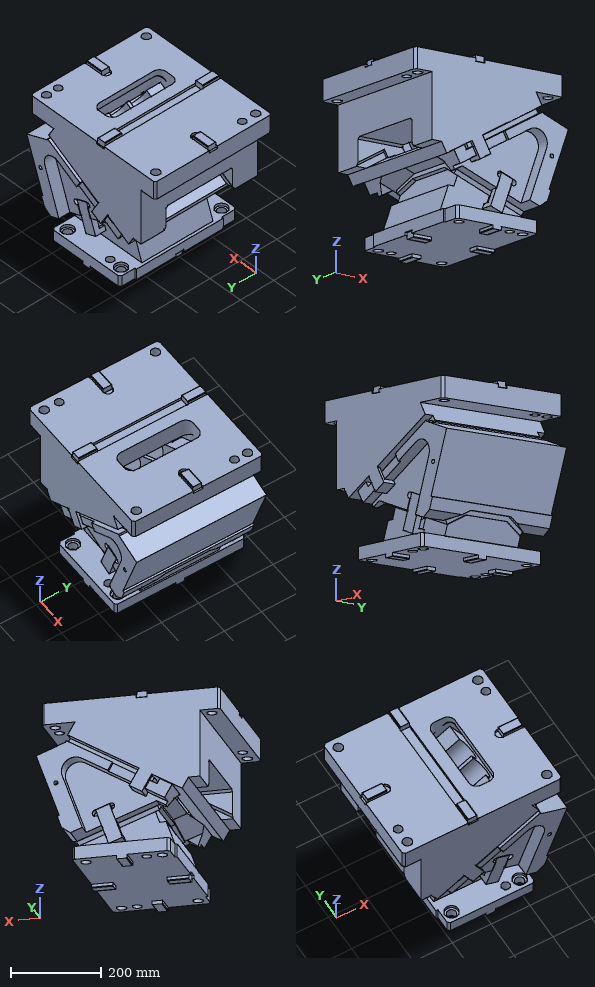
import cadquery as cq
import math


half_width = 175.0
total_height = 393.0
key_rise = 8.5
key_width = 24.5
key_length = 50.0
key_seat_depth = 7.0
key_chamfer = 1.5
cross_key_inset = 3.5
corner_chamfer = 6.0
screw_radius = 11.5
dowel_radius = 10.5
overshoot = 4.2

slide_angle = math.radians(30)
slide_x, slide_z = 186.0, 209.8
wedge_angle = math.radians(20)
wedge_x, wedge_z = 423.0, 262.0

plate_length = 410.0
plate_top = total_height - key_rise
plate_bottom = 333.3
block_left, block_right = 46.0, 333.3
foot_s = -114.5
guide_end_s = 189.0
end_face_height = 28.8
jaw_length = 34.0
jaw_depth = 45.0
ledge_t = -13.0
flange_t = -34.3
flange_half_width = 168.5
waist_half_width = 142.0
rail_half_width = 152.3
pad_half_width = 101.5
window_half_width = 100.0
window_top = 244.0
window_chamfer = 5.5
window_flare_t = 43.5
window_notch_half_width = 73.0
floor_end_s = -50.0
notch_end_s = -67.0
pocket_end_s, pocket_top_t = 165.0, 87.0
pocket_half_width = 100.2
pocket_corner = 17.0
slot_left, slot_right = 224.5, 285.5
slot_corner = 20.0
slot_bottom = 296.0
cross_key_x = 180.0
hole_left_x, hole_right_x, hole_y = 25.5, 385.0, 149.7
dowel_left_y, dowel_right_y = -109.5, 114.5
left_key_x, right_key_x = 5.0, 355.3
left_seat_end, right_seat_start = 69.0, 341.7

slider_end_s = -86.0
slider_end_depth = 43.0
slider_foot_s = -61.7
slider_top_s = 185.2
slider_edge = 4.2
lip_end_s = -53.3
spring_block_end_s, spring_block_top_t = 150.5, 68.5
spring_block_half_width = 98.0
spring_nose_half_width = 72.7
spring_nose_length = 58.5
wide_start_s = 63.0
cam_q = -205.5
heel_out = 5.0
heel_top_q, heel_bottom_q = -155.2, -184.5
heel_corner_p = -9.7
leg_p = -39.0
recess_radius = 31.0
hook_start_p, hook_end_p = -110.0, -76.0
hook_top_q, hook_bottom_q = -164.5, -251.5
hook_outer, hook_inner = 140.5, 124.8
lip_inner, lip_thickness = 109.0, 12.5
relief_radius, relief_drop, relief_spread = 7.0, 7.0, 19.5
cross_hole_p, cross_hole_q, cross_hole_radius, cross_hole_depth = -20.0, -80.5, 4.5, 12.5
groove_y, groove_radius = 30.5, 26.2
groove_start_s = 34.0
groove_wall = 14.0

cam_half_width = 116.7
roof_half_width = 112.0
roof_flat_half_width = 59.0
roof_slope = math.tan(math.radians(30))
cover_thickness = 11.0
cover_start_p, cover_end_p = -205.5, -7.5
core_half_width = roof_half_width - cover_thickness / 2
roof_edge_q = cam_q + (cam_half_width - roof_half_width) * roof_slope
ridge_q = cam_q + (cam_half_width - roof_flat_half_width) * roof_slope
core_top_q = roof_edge_q - cover_thickness * math.cos(math.radians(30))
cam_groove_mouth_half_width = 131.0
cam_groove_mouth_q = -226.0
cam_groove_length = 296.0
core_start_p, core_end_p = -195.5, -5.5
step_p, step_z = -209.8, 103.5
base_left, base_right, base_top = 110.5, 340.0, 39.5
base_setback = 5.0
base_tongue_half_width = 130.3
base_hole_left, base_hole_right, base_hole_y = 138.7, 314.2, 150.5
base_dowel_left, base_dowel_right = 174.5, 278.3
counterbore_radius, counterbore_depth = 17.0, 7.5
base_key_x = 226.0
ear_outer, ear_start_p, ear_end_p = 121.5, -101.5, -84.5
ear_top_q = -213.0


def slide(s, t):
    """X, Z of a point in the slide frame."""
    return (slide_x + s * math.cos(slide_angle) - t * math.sin(slide_angle),
            slide_z + s * math.sin(slide_angle) + t * math.cos(slide_angle))


def wedge(p, q):
    """X, Z of a point in the wedge frame."""
    return (wedge_x + p * math.cos(wedge_angle) + q * math.sin(wedge_angle),
            wedge_z - p * math.sin(wedge_angle) + q * math.cos(wedge_angle))


def slab(points, half):
    """X-Z outline extruded to both sides of Y = 0."""
    return cq.Workplane("XZ").polyline(points).close().extrude(half, both=True)


def side_bands(points, inner, outer):
    """The same outline on both sides, between two distances from Y = 0."""
    return slab(points, outer).cut(slab(points, inner))


def slide_box(s0, s1, t0, t1):
    """Outline of a rectangle in the slide frame."""
    return [slide(s0, t0), slide(s1, t0), slide(s1, t1), slide(s0, t1)]


def wedge_box(p0, p1, q0, q1):
    """Outline of a rectangle in the wedge frame."""
    return [wedge(p0, q0), wedge(p1, q0), wedge(p1, q1), wedge(p0, q1)]


def wedge_prism(points, p0, p1):
    """Y-q outline extruded along the cam face from p0 to p1."""
    x, z = wedge(p0, 0)
    along = (math.cos(wedge_angle), 0, -math.sin(wedge_angle))
    plane = cq.Plane(origin=(x, 0, z), xDir=(0, 1, 0), normal=along)
    return cq.Workplane(plane).polyline(points).close().extrude(p1 - p0)


def slide_plane(s, t):
    """Plane square to the guide; its local axes are Y and t."""
    x, z = slide(s, t)
    along = (math.cos(slide_angle), 0, math.sin(slide_angle))
    return cq.Plane(origin=(x, 0, z), xDir=(0, 1, 0), normal=along)


def slide_prism(points, s0, s1):
    """Y-t outline extruded along the guide from s0 to s1."""
    return cq.Workplane(slide_plane(s0, 0)).polyline(points).close().extrude(s1 - s0)


def block(x0, x1, y0, y1, z0, z1):
    return cq.Workplane("XY").box(x1 - x0, y1 - y0, z1 - z0, centered=False).translate((x0, y0, z0))


def holes(points, radius, z0, z1):
    return cq.Workplane("XY").workplane(offset=z0).pushPoints(points).circle(radius).extrude(z1 - z0)


def key_along_x(x0, z0, z1, chamfered_face):
    key = block(x0, x0 + key_length, -key_width / 2, key_width / 2, z0, z1)
    return key.faces(chamfered_face).edges("|X").chamfer(key_chamfer)


def key_along_y(x, y0, z0, z1, chamfered_face):
    key = block(x - key_width / 2, x + key_width / 2, y0, y0 + key_length, z0, z1)
    return key.faces(chamfered_face).edges("|Y").chamfer(key_chamfer)


def holder_blank():
    plate = block(0, plate_length, -half_width, half_width, plate_bottom, plate_top)
    plate = plate.edges("|Z").chamfer(corner_chamfer)
    foot_x, block_bottom = slide(foot_s, end_face_height)
    outline = [
        (block_left, plate_bottom),
        (block_left, block_bottom),
        (foot_x, block_bottom),
        slide(foot_s, 0),
        slide(guide_end_s, 0),
        slide(guide_end_s, end_face_height),
        (block_right, plate_bottom),
    ]
    body = plate.union(slab(outline, half_width))
    jaw_sides = side_bands(slide_box(-jaw_length, 0, -jaw_depth, 0), flange_half_width, half_width)
    jaw_lips = side_bands(slide_box(-jaw_length, 0, -jaw_depth, flange_t), waist_half_width, half_width)
    rails = side_bands(slide_box(-jaw_length, guide_end_s, ledge_t, 0), pad_half_width, rail_half_width)
    tie = slab(slide_box(pocket_end_s, guide_end_s, ledge_t, 0), pad_half_width)
    return body.union(jaw_sides).union(jaw_lips).union(rails).union(tie)


def window_cavity():
    """Opening in the lower end, above the sloping floor, reaching the spring block."""
    start = block_left - overshoot
    outline = [
        (start, window_top),
        (start, slide(foot_s, end_face_height)[1] - overshoot),
        slide(foot_s, end_face_height),
        slide(floor_end_s, end_face_height),
        slide(floor_end_s, 0),
        slide(0, 0),
        slide(0, (window_top - slide_z) / math.cos(slide_angle)),
    ]
    cavity = slab(outline, window_half_width)
    cavity = cavity.edges("|X").edges(">Z").chamfer(window_chamfer)
    notch = slab(slide_box(notch_end_s, floor_end_s, 0, end_face_height), window_notch_half_width)
    flare_outer = window_half_width + window_chamfer
    flare_outline = [
        (-flare_outer, 0),
        (flare_outer, 0),
        (flare_outer, window_flare_t),
        (window_half_width, window_flare_t + window_chamfer),
        (-window_half_width, window_flare_t + window_chamfer),
        (-flare_outer, window_flare_t),
    ]
    flare = slide_prism(flare_outline, 2 * foot_s, floor_end_s).intersect(slab(outline, half_width))
    return cavity.union(notch).union(flare)


def spring_pocket():
    """Room for the slider's spring block, with a slot up through the plate."""
    pocket = slab(slide_box(0, pocket_end_s, 0, pocket_top_t), pocket_half_width)
    end_x, end_z = slide(pocket_end_s, pocket_top_t / 2)
    for y in (-pocket_half_width, pocket_half_width):
        corner = cq.selectors.NearestToPointSelector((end_x, y, end_z))
        pocket = pocket.edges(corner).fillet(pocket_corner)
    slot = block(slot_left, slot_right, -pocket_half_width, pocket_half_width, slot_bottom, plate_top)
    return pocket.union(slot.edges("|Z").fillet(slot_corner))


def holder_seats():
    seat_bottom = plate_top - key_seat_depth
    half_key = key_width / 2
    cross = block(
        cross_key_x - half_key, cross_key_x + half_key, -half_width, half_width, seat_bottom, plate_top
    )
    left_centre = left_seat_end - half_key
    right_centre = right_seat_start + half_key
    left = block(0, left_centre, -half_key, half_key, seat_bottom, plate_top)
    right = block(right_centre, plate_length, -half_key, half_key, seat_bottom, plate_top)
    ends = holes([(left_centre, 0), (right_centre, 0)], half_key, seat_bottom, plate_top)
    return cross.union(left).union(right).union(ends)


def make_holder():
    body = holder_blank().cut(window_cavity()).cut(spring_pocket()).cut(holder_seats())
    screws = [(x, y) for x in (hole_left_x, hole_right_x) for y in (-hole_y, hole_y)]
    dowels = [(hole_left_x, dowel_left_y), (hole_right_x, dowel_right_y)]
    body = body.cut(holes(screws, screw_radius, plate_bottom, plate_top))
    body = body.cut(holes(dowels, dowel_radius, plate_bottom, plate_top))
    seat_bottom = plate_top - key_seat_depth
    key_outer = half_width - cross_key_inset
    for x in (left_key_x, right_key_x):
        body = body.union(key_along_x(x, seat_bottom, total_height, ">Z"))
    for y in (-key_outer, key_outer - key_length):
        body = body.union(key_along_y(cross_key_x, y, seat_bottom, total_height, ">Z"))
    return body


def slider_blank():
    outline = [
        slide(slider_end_s, ledge_t),
        slide(slider_top_s, ledge_t),
        slide(slider_top_s, ledge_t - slider_edge),
        wedge(0, 0),
        wedge(0, heel_top_q),
        wedge(heel_out, heel_top_q),
        wedge(heel_out, heel_bottom_q),
        wedge(heel_corner_p, cam_q),
        slide(slider_foot_s, -slider_end_depth),
        slide(slider_end_s, -slider_end_depth),
    ]
    body = slab(outline, half_width)
    lip = slab(slide_box(slider_end_s, lip_end_s, ledge_t, 0), flange_half_width)
    pad = slab(slide_box(lip_end_s, spring_block_end_s, ledge_t, 0), pad_half_width)
    return body.union(lip).union(pad).union(spring_block())


def spring_block():
    """Raised block with a narrow nose and two round-bottomed spring grooves."""
    nose = slab(slide_box(0, spring_nose_length, 0, spring_block_top_t), spring_nose_half_width)
    wide = slide_box(spring_nose_length, spring_block_end_s, 0, spring_block_top_t)
    raised = nose.union(slab(wide, spring_block_half_width))
    centre_t = spring_block_top_t - groove_wall
    plane = slide_plane(groove_start_s, centre_t)
    length = spring_block_end_s - groove_start_s
    for y in (-groove_y, groove_y):
        round_bottom = cq.Workplane(plane).center(y, 0).circle(groove_radius).extrude(length)
        walls = cq.Workplane(plane).center(y, groove_radius).rect(2 * groove_radius, 2 * groove_radius)
        raised = raised.cut(round_bottom).cut(walls.extrude(length))
    return raised


def side_recess():
    """Side pockets between the flange and the leg, with a rounded upper corner."""
    rise = math.tan(slide_angle)
    flange_x, flange_z = slide(0, flange_t)
    leg_x, leg_z = wedge(leg_p, 0)
    lean = math.tan(wedge_angle)
    corner_z = (flange_z + rise * (leg_x - flange_x - lean * leg_z)) / (1 - rise * lean)
    corner = (leg_x + lean * (corner_z - leg_z), corner_z)
    outline = [
        corner,
        slide(slider_end_s - overshoot, flange_t),
        slide(slider_end_s - overshoot, cam_q),
        wedge(leg_p, 2 * cam_q),
    ]
    rounded = slab(outline, half_width).edges("|Y").edges(">Z").fillet(recess_radius)
    return rounded.cut(slab(outline, waist_half_width))


def cam_groove():
    """Groove under the slider that rides on the driver's roof."""
    outline = [
        (-cam_groove_mouth_half_width, cam_groove_mouth_q),
        (-cam_half_width, cam_q),
        (-roof_flat_half_width, ridge_q),
        (roof_flat_half_width, ridge_q),
        (cam_half_width, cam_q),
        (cam_groove_mouth_half_width, cam_groove_mouth_q),
    ]
    return wedge_prism(outline, -cam_groove_length, heel_out)


def hook_reliefs():
    """Round corner reliefs beside the top of each return hook."""
    middle = (hook_start_p + hook_end_p) / 2
    centres = [wedge(middle + side * relief_spread, hook_top_q - relief_drop) for side in (-1, 1)]
    discs = cq.Workplane("XZ").pushPoints(centres).circle(relief_radius)
    outer = discs.extrude(waist_half_width, both=True)
    inner = cq.Workplane("XZ").pushPoints(centres).circle(2 * relief_radius).extrude(hook_inner, both=True)
    return outer.cut(inner)


def return_hooks():
    plates = side_bands(
        wedge_box(hook_start_p, hook_end_p, hook_bottom_q, hook_top_q), hook_inner, hook_outer
    )
    lips = side_bands(
        wedge_box(hook_start_p, hook_end_p, hook_bottom_q, hook_bottom_q + lip_thickness),
        lip_inner,
        hook_outer,
    )
    return plates.union(lips)


def cross_holes():
    centre = [wedge(cross_hole_p, cross_hole_q)]
    outer = cq.Workplane("XZ").pushPoints(centre).circle(cross_hole_radius).extrude(half_width, both=True)
    core = cq.Workplane("XZ").pushPoints(centre).circle(2 * cross_hole_radius)
    return outer.cut(core.extrude(half_width - cross_hole_depth, both=True))


def make_slider():
    flank = slide_box(slider_end_s, wide_start_s, flange_t, ledge_t)
    body = slider_blank().cut(side_recess())
    body = body.cut(side_bands(flank, flange_half_width, half_width))
    hook_seat = wedge_box(hook_start_p, hook_end_p, hook_bottom_q, hook_top_q)
    body = body.cut(cam_groove()).cut(cross_holes())
    body = body.cut(side_bands(hook_seat, hook_inner, waist_half_width))
    return body.cut(hook_reliefs()).union(return_hooks())


def roof_outline():
    """Y-q section of the cam roof with its square-edged cover."""
    return [
        (-core_half_width, core_top_q),
        (-roof_half_width, roof_edge_q),
        (-roof_flat_half_width, ridge_q),
        (roof_flat_half_width, ridge_q),
        (roof_half_width, roof_edge_q),
        (core_half_width, core_top_q),
    ]


def roof_core_outline():
    """Y-q section of the roof below its cover."""
    core_ridge_q = core_top_q + (core_half_width - roof_flat_half_width) * roof_slope
    return [
        (-core_half_width, core_top_q),
        (-roof_flat_half_width, core_ridge_q),
        (roof_flat_half_width, core_ridge_q),
        (core_half_width, core_top_q),
    ]


def cam_post():
    lean = math.tan(wedge_angle)
    foot_left = wedge(step_p, 0)[0] + lean * (base_top - wedge(step_p, 0)[1])
    foot_right = wedge(core_end_p, 0)[0] + lean * (base_top - wedge(core_end_p, 0)[1])
    step_left = foot_left + lean * (step_z - base_top)
    step_right = step_left + (core_start_p - step_p) / math.cos(wedge_angle)
    outline = [
        (foot_left, base_top),
        (step_left, step_z),
        (step_right, step_z),
        wedge(core_start_p, core_top_q),
        wedge(core_end_p, core_top_q),
        (foot_right, base_top),
    ]
    post = slab(outline, core_half_width)
    core = wedge_prism(roof_core_outline(), core_start_p, core_end_p)
    cover = wedge_prism(roof_outline(), cover_start_p, cover_end_p)
    cover = cover.cut(wedge_prism(roof_core_outline(), cover_start_p, core_start_p))
    return post.union(core).union(cover)


def ears():
    """Ears that rest on the hook lips, sloped on top."""
    bottom_q = hook_bottom_q + lip_thickness
    inner = core_half_width - overshoot
    outer_top_q = ear_top_q - (ear_outer - core_half_width) * roof_slope
    blocks = []
    for side in (-1, 1):
        outline = [
            (side * inner, bottom_q),
            (side * ear_outer, bottom_q),
            (side * ear_outer, outer_top_q),
            (side * core_half_width, ear_top_q),
            (side * inner, ear_top_q),
        ]
        blocks.append(wedge_prism(outline, ear_start_p, ear_end_p))
    return blocks


def base_plate():
    shoulder = base_left + base_setback
    plate = block(shoulder, base_right, -half_width, half_width, key_rise, base_top)
    plate = plate.edges("|Z").chamfer(corner_chamfer)
    tongue = block(
        base_left, shoulder, -base_tongue_half_width, base_tongue_half_width, key_rise, base_top
    )
    screws = [(x, y) for x in (base_hole_left, base_hole_right) for y in (-base_hole_y, base_hole_y)]
    dowels = [(base_dowel_left, base_hole_y), (base_dowel_right, -base_hole_y)]
    plate = plate.union(tongue)
    plate = plate.cut(holes(screws, screw_radius, key_rise, base_top))
    plate = plate.cut(holes(screws, counterbore_radius, base_top - counterbore_depth, base_top))
    plate = plate.cut(holes(dowels, dowel_radius, key_rise, base_top))
    seat_top = key_rise + key_seat_depth
    left_seat = block(base_left, shoulder, -key_width / 2, key_width / 2, key_rise, seat_top)
    plate = plate.cut(left_seat)
    for x in (shoulder, base_right - key_length):
        plate = plate.union(key_along_x(x, 0, seat_top, "<Z"))
    for y in (-half_width, half_width - key_length):
        plate = plate.union(key_along_y(base_key_x, y, 0, seat_top, "<Z"))
    return plate


def make_driver():
    body = base_plate().union(cam_post())
    for ear in ears():
        body = body.union(ear)
    return body


holder = make_holder()
slider = make_slider()
driver = make_driver()

result = cq.Compound.makeCompound([
    holder.solids().val(),
    slider.solids().val(),
    driver.solids().val(),
])